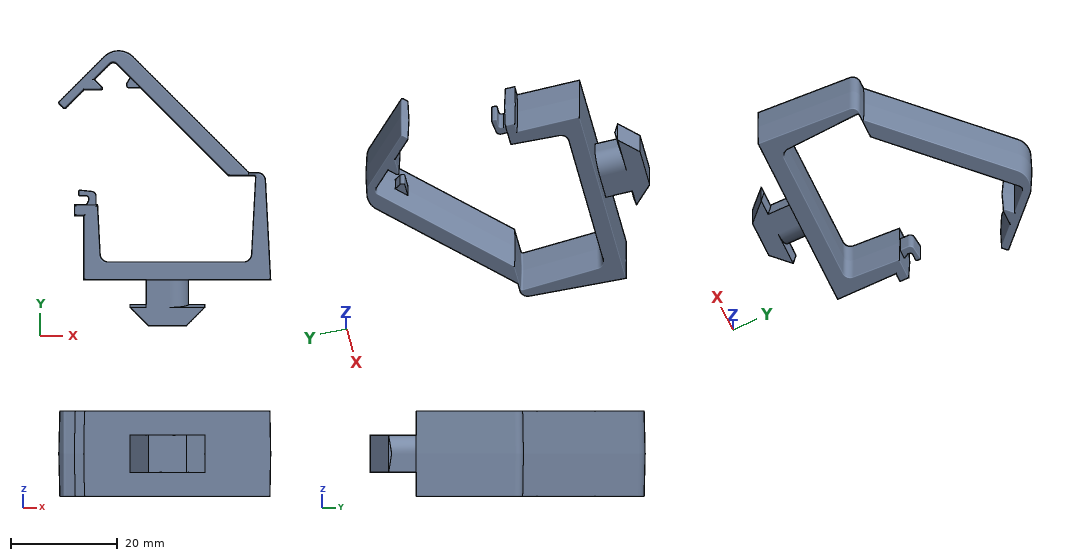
import cadquery as cq
import math

LENGTH = 51.5
WIDTH = 16.0
HALF_WIDTH = WIDTH / 2
DRAFT = 1.0
RIM_ROUND = 0.15
WALL_LEAN = math.tan(math.radians(3))

FLOOR_Y = 3.35
FLOOR_ROUND = 1.5
LEFT_OUTER_X = -15.65
LEFT_INNER_X = -12.3
LEFT_TOP_Y = 14.05
LIP_X = -17.4
LIP_BOTTOM_Y = 11.95
RIGHT_OUTER_X = 19.35
RIGHT_INNER_X = 15.5
BASE_EXCESS = 1.05

HINGE_TOP_Y = 20.1
HINGE_BOTTOM_Y = 19.5
HINGE_OUTER_ROUND = 1.55
LID_OUTER_SUM = 35.35
LID_INNER_SUM = 30.9
FLAP_OUTER_DIFF = 53.65
FLAP_INNER_DIFF = 51.15
FLAP_END_SUM = 12.65
APEX_INNER_ROUND = 1.0
BARB_TOP_SUM = 23.85
BARB_BOTTOM_Y = 35.55
SMALL_ROUND = 0.3

CATCH_WIDTH = 4.0
CATCH_BOTTOM_Y = 35.95
CATCH_NOSE_X = -7.6
CATCH_TOP_X = -6.95
CATCH_ROUND = 0.4

SNAP_WIDTH = 6.0
SNAP_BACK_X = -13.35
SNAP_NOSE_X = -16.65
SNAP_TOP_Y = 16.85
SNAP_BACK_TOP_Y = 16.5
SNAP_BACK_ROUND = 0.95
SNAP_NOSE_BOTTOM_Y = 15.7
SNAP_THROAT_X = -14.75
SNAP_THROAT_Y = 14.95
SNAP_THROAT_ROUND = 0.5
SNAP_MOUTH_X = -15.4
SNAP_EDGE_ROUND = 0.2

FOOT_WIDTH = 7.0
FOOT_BOTTOM_Y = -8.6
FOOT_HALF_LENGTH = 7.0
FOOT_BOTTOM_HALF_LENGTH = 3.55
FOOT_RIDGE = 0.55
NECK_HALF_LENGTH = 3.995
NECK_FLAT = 0.005

OVERLAP = 0.5


def diagonal_crossing(total, difference):
    """Point where X + Y = total meets Y - X = difference."""
    return (total - difference) / 2, (total + difference) / 2


def rounded_outline(corners):
    """Closed wire through (x, y, radius) corners; radius 0 leaves the corner sharp."""
    edges = []
    ends = []
    for i, (x, y, radius) in enumerate(corners):
        corner = cq.Vector(x, y)
        if radius == 0:
            ends.append((corner, corner))
            continue
        before = (cq.Vector(*corners[i - 1][:2]) - corner).normalized()
        after = (cq.Vector(*corners[(i + 1) % len(corners)][:2]) - corner).normalized()
        half_angle = before.getAngle(after) / 2
        reach = radius / math.tan(half_angle)
        sagitta = radius / math.sin(half_angle) - radius
        middle = corner + (before + after).normalized() * sagitta
        start = corner + before * reach
        end = corner + after * reach
        edges.append(cq.Edge.makeThreePointArc(start, middle, end))
        ends.append((start, end))
    for i, (start, _) in enumerate(ends):
        edges.append(cq.Edge.makeLine(ends[i - 1][1], start))
    return cq.Wire.assembleEdges(cq.Wire.combine(edges)[0].Edges())


def inset_corners(corners, inset):
    """Counter-clockwise corners with every side moved inwards and the radii kept."""
    moved = []
    for i, (x, y, radius) in enumerate(corners):
        corner = cq.Vector(x, y)
        arriving = (corner - cq.Vector(*corners[i - 1][:2])).normalized()
        leaving = (cq.Vector(*corners[(i + 1) % len(corners)][:2]) - corner).normalized()
        inward = cq.Vector(-arriving.y - leaving.y, arriving.x + leaving.x)
        shifted = corner + inward * (inset / (1 + arriving.dot(leaving)))
        moved.append((shifted.x, shifted.y, radius))
    return moved


def plate(wire, width):
    """Solid of the given width, centred on the parting plane."""
    return cq.Workplane("XY").add(wire).toPending().extrude(width / 2, both=True)


def clip_corners():
    """Corners of the clip at the parting plane, counter-clockwise from the base's left end."""
    left_inner_top = LEFT_INNER_X - LEFT_TOP_Y * WALL_LEAN
    left_inner_foot = LEFT_INNER_X - FLOOR_Y * WALL_LEAN
    right_inner_foot = RIGHT_INNER_X + FLOOR_Y * WALL_LEAN
    right_inner_top = RIGHT_INNER_X + HINGE_BOTTOM_Y * WALL_LEAN
    right_outer_top = RIGHT_OUTER_X - HINGE_TOP_Y * WALL_LEAN
    right_outer_foot = RIGHT_OUTER_X + BASE_EXCESS * WALL_LEAN
    apex_x, apex_y = diagonal_crossing(LID_OUTER_SUM, FLAP_OUTER_DIFF)
    apex_round = (apex_y - (LENGTH + FOOT_BOTTOM_Y)) / (math.sqrt(2) - 1)
    return [
        (LEFT_OUTER_X, -BASE_EXCESS, 0),
        (right_outer_foot, -BASE_EXCESS, 0),
        (right_outer_top, HINGE_TOP_Y, HINGE_OUTER_ROUND),
        (LID_OUTER_SUM - HINGE_TOP_Y, HINGE_TOP_Y, 0),
        (apex_x, apex_y, apex_round),
        (*diagonal_crossing(FLAP_END_SUM, FLAP_OUTER_DIFF), SMALL_ROUND),
        (*diagonal_crossing(FLAP_END_SUM, FLAP_INNER_DIFF), SMALL_ROUND),
        (BARB_BOTTOM_Y - FLAP_INNER_DIFF, BARB_BOTTOM_Y, 0),
        (BARB_TOP_SUM - BARB_BOTTOM_Y, BARB_BOTTOM_Y, SMALL_ROUND),
        (*diagonal_crossing(BARB_TOP_SUM, FLAP_INNER_DIFF), 0),
        (*diagonal_crossing(LID_INNER_SUM, FLAP_INNER_DIFF), APEX_INNER_ROUND),
        (LID_INNER_SUM - HINGE_BOTTOM_Y, HINGE_BOTTOM_Y, 0),
        (right_inner_top, HINGE_BOTTOM_Y, SMALL_ROUND),
        (right_inner_foot, FLOOR_Y, FLOOR_ROUND),
        (left_inner_foot, FLOOR_Y, FLOOR_ROUND),
        (left_inner_top, LEFT_TOP_Y, 0),
        (LIP_X, LEFT_TOP_Y, 0),
        (LIP_X, LIP_BOTTOM_Y, 0),
        (LEFT_OUTER_X, LIP_BOTTOM_Y, 0),
    ]


def clip_body():
    """Strip widest at the parting plane, with a flat base and rounded rims."""
    corners = clip_corners()
    inset = HALF_WIDTH * math.tan(math.radians(DRAFT))
    widest = rounded_outline(corners)
    narrowest = rounded_outline(inset_corners(corners, inset)).translate(cq.Vector(0, 0, HALF_WIDTH))
    half = cq.Workplane("XY").add(cq.Solid.makeLoft([widest, narrowest], True))
    trim_size = 4 * WIDTH
    below_base = cq.Workplane("XY").box(trim_size, trim_size, trim_size).translate((0, -trim_size / 2, 0))
    half = half.cut(below_base).faces(">Z").edges().fillet(RIM_ROUND)
    return half.union(half.mirror("XY"))


def catch():
    """Small round-nosed catch on the inner face of the lid."""
    inside_lid = LID_INNER_SUM + OVERLAP
    nose_y = CATCH_BOTTOM_Y + 2 * CATCH_ROUND
    return plate(rounded_outline([
        (CATCH_NOSE_X, CATCH_BOTTOM_Y, CATCH_ROUND),
        (inside_lid - CATCH_BOTTOM_Y, CATCH_BOTTOM_Y, 0),
        (CATCH_TOP_X, inside_lid - CATCH_TOP_X, 0),
        (CATCH_TOP_X, LID_INNER_SUM - CATCH_TOP_X, 0),
        (CATCH_NOSE_X, nose_y, 0),
    ]), CATCH_WIDTH)


def snap_hook():
    """Hook on top of the left wall, with its nose pointing outwards."""
    root_y = LEFT_TOP_Y - OVERLAP
    return plate(rounded_outline([
        (SNAP_BACK_X, root_y, 0),
        (SNAP_BACK_X, SNAP_BACK_TOP_Y, SNAP_BACK_ROUND),
        (SNAP_NOSE_X, SNAP_TOP_Y, SMALL_ROUND),
        (SNAP_NOSE_X, SNAP_NOSE_BOTTOM_Y, SMALL_ROUND),
        (SNAP_THROAT_X, SNAP_NOSE_BOTTOM_Y, SNAP_THROAT_ROUND),
        (SNAP_THROAT_X, SNAP_THROAT_Y, 0),
        (SNAP_MOUTH_X, root_y, 0),
    ]), SNAP_WIDTH).faces("<Z or >Z").edges().fillet(SNAP_EDGE_ROUND)


def twist_lock_foot():
    """Wedge-shaped head on a neck with two opposite corners rounded."""
    half_width = FOOT_WIDTH / 2
    edge_y = FOOT_BOTTOM_Y + FOOT_HALF_LENGTH - FOOT_BOTTOM_HALF_LENGTH
    ridge_y = edge_y + FOOT_RIDGE
    head_side = plate(rounded_outline([
        (-FOOT_BOTTOM_HALF_LENGTH, FOOT_BOTTOM_Y, 0),
        (FOOT_BOTTOM_HALF_LENGTH, FOOT_BOTTOM_Y, 0),
        (FOOT_HALF_LENGTH, edge_y, 0),
        (FOOT_HALF_LENGTH, ridge_y, 0),
        (-FOOT_HALF_LENGTH, ridge_y, 0),
        (-FOOT_HALF_LENGTH, edge_y, 0),
    ]), FOOT_WIDTH)
    head_section = (
        cq.Workplane("YZ")
        .polyline([
            (FOOT_BOTTOM_Y, -half_width),
            (edge_y, -half_width),
            (ridge_y, 0),
            (edge_y, half_width),
            (FOOT_BOTTOM_Y, half_width),
        ])
        .close()
        .extrude(FOOT_HALF_LENGTH, both=True)
    )
    neck_length = OVERLAP - edge_y + OVERLAP
    neck = (
        cq.Workplane("XZ", origin=(0, OVERLAP, 0))
        .rect(2 * NECK_HALF_LENGTH, FOOT_WIDTH)
        .extrude(neck_length)
        .edges("(>X and >Z) or (<X and <Z)")
        .fillet(half_width - NECK_FLAT)
    )
    return head_side.intersect(head_section).union(neck)


result = clip_body().union(catch()).union(snap_hook()).union(twist_lock_foot())